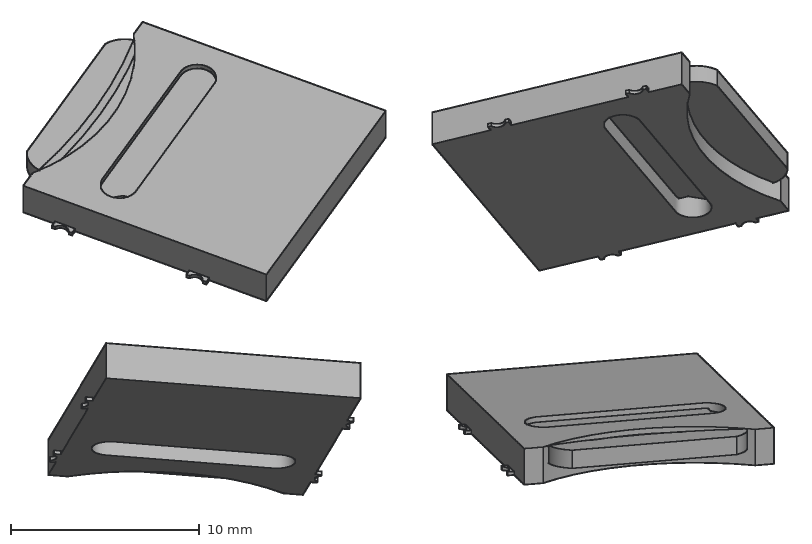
import cadquery as cq

housing_length = 14.5
housing_width = 13.8
housing_height = 2.0

recess_half_chord = 5.85
recess_depth = 1.8

slot_width = 2.0
slot_length = 11.0
slot_center_x = 4.5

overall_width = 14.5
tab_length = 1.2
tab_thickness = 0.2
tab_first_x = 2.5
tab_spacing = 8.0
tab_notch_half_width = 0.4
tab_notch_depth = 0.25

card_length = 15.0
card_width = 11.0
card_overhang = 1.0
card_body_thickness = 0.7
card_ridge_thickness = 1.0
card_corner_length = 1.5
card_corner_setback = 0.97
card_step_depth = 0.65
card_step_start = 5.18
card_step_run = 0.75

ridge_end_length = 1.2
ridge_mid_length = 1.74
ridge_bevel = card_ridge_thickness - card_body_thickness

card_bottom = housing_height - card_ridge_thickness
card_front = -card_overhang
card_back = card_front + card_length
card_half_width = card_width / 2


def card_blank():
    """Full-thickness card: outer corners rounded by arcs tangent to the long sides."""
    corner_x = card_front + card_corner_length
    corner_y = card_half_width - card_corner_setback
    half_blank = (
        cq.Workplane("XY", origin=(0, 0, card_bottom))
        .moveTo(card_back, 0)
        .lineTo(card_back, card_half_width)
        .lineTo(corner_x, card_half_width)
        .tangentArcPoint((card_front, corner_y), relative=False)
        .lineTo(card_front, 0)
        .close()
        .extrude(card_ridge_thickness)
    )
    return half_blank.union(half_blank.mirror("XZ"))


def side_step():
    """Material removed from the -Y side of the card, behind a slanted shoulder."""
    step_x = card_front + card_step_start
    step_y = -card_half_width + card_step_depth
    return (
        cq.Workplane("XY", origin=(0, 0, card_bottom))
        .moveTo(step_x, -card_half_width)
        .lineTo(step_x + card_step_run, step_y)
        .lineTo(card_back, step_y)
        .lineTo(card_back, -card_half_width)
        .close()
        .extrude(card_ridge_thickness)
    )


def behind_ridge():
    """Space above the thin part of the card, bounded by the bevelled ridge arc."""
    end_x = card_front + ridge_end_length
    mid_x = card_front + ridge_mid_length
    sagitta = mid_x - end_x
    radius = (card_half_width**2 + sagitta**2) / (2 * sagitta)
    center_x = mid_x - radius
    lower_z = card_bottom + card_body_thickness
    ridge_cone = cq.Solid.makeCone(
        radius + ridge_bevel,
        radius,
        ridge_bevel,
        pnt=cq.Vector(center_x, 0, lower_z),
    )
    slab = cq.Workplane("XY", origin=(card_front, 0, lower_z)).box(
        card_length, card_width, ridge_bevel, centered=(False, True, False)
    )
    return slab.cut(cq.Workplane(ridge_cone))


def make_card():
    return card_blank().cut(side_step()).cut(behind_ridge())


def make_tab(x, side):
    """Solder tab with an arc notch in its outer edge; side is +1 or -1."""
    inner_y = side * housing_width / 2
    outer_y = side * overall_width / 2
    half_length = tab_length / 2
    return (
        cq.Workplane("XY")
        .moveTo(x - half_length, inner_y)
        .lineTo(x - half_length, outer_y)
        .lineTo(x - tab_notch_half_width, outer_y)
        .threePointArc((x, outer_y - side * tab_notch_depth), (x + tab_notch_half_width, outer_y))
        .lineTo(x + half_length, outer_y)
        .lineTo(x + half_length, inner_y)
        .close()
        .extrude(tab_thickness)
    )


def make_housing(card):
    body = cq.Workplane("XY").box(
        housing_length, housing_width, housing_height, centered=(False, True, False)
    )
    recess = (
        cq.Workplane("XY")
        .moveTo(0, recess_half_chord)
        .threePointArc((recess_depth, 0), (0, -recess_half_chord))
        .close()
        .extrude(housing_height)
    )
    slot = (
        cq.Workplane("XY")
        .center(slot_center_x, 0)
        .slot2D(slot_length, slot_width, 90)
        .extrude(housing_height)
    )
    body = body.cut(recess).cut(slot).cut(card)
    for x in (tab_first_x, tab_first_x + tab_spacing):
        for side in (-1, 1):
            body = body.union(make_tab(x, side))
    return body


card = make_card()
housing = make_housing(card)

result = cq.Compound.makeCompound([housing.val(), card.val()])